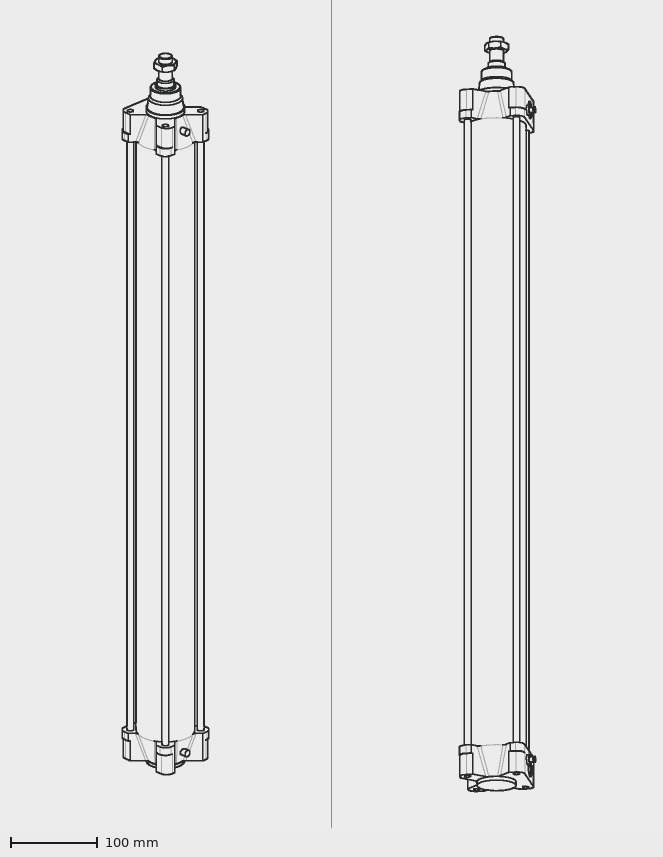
import cadquery as cq
import math


TOTAL_HEIGHT = 894.0
HEAD_WIDTH = 76.0
HALF_WIDTH = HEAD_WIDTH / 2

HEAD_HEIGHT = 35.0
HEAD_DEPTH = 72.0
LIP_HEIGHT = 10.0
CORNER_RADIUS = 9.0
BOTTOM_HEAD_OUTER_Z = 4.5
BOTTOM_HEAD_INNER_Z = BOTTOM_HEAD_OUTER_Z + HEAD_HEIGHT
TOP_HEAD_OUTER_Z = 824.0
TOP_HEAD_INNER_Z = TOP_HEAD_OUTER_Z - HEAD_HEIGHT

POCKET_APEX = 15.0
CORE_OUTER_RADIUS = 23.0
POCKET_FILLET = 4.0

BARREL_DIAMETER = 68.0
TIE_ROD_DIAMETER = 8.0
TIE_ROD_OFFSET = 29.0
TIE_ROD_HOLE_DIAMETER = 7.1
TIE_ROD_HOLE_DEPTH = 13.0

PORT_Y = -7.0
PORT_HEIGHT = 19.0
PORT_DIAMETER = 15.0
PORT_DEPTH = 9.0
PASSAGE_DIAMETER = 12.0
PASSAGE_DEPTH = 12.5
PORT_SEAT_DIAMETER = 20.0
PORT_SEAT_DEPTH = 1.0
SCREW_Y = 11.0
SCREW_HEIGHT = 13.0
SCREW_BASE_DIAMETER = 12.0
SCREW_BASE_LENGTH = 3.0
SCREW_NECK_DIAMETER = 6.0
SCREW_HEAD_DIAMETER = 7.1
SCREW_HEAD_LENGTH = 2.0
SCREW_LENGTH = 9.0

PLUG_DIAMETER = 8.0
PLUG_END_X = 36.0

COLLAR_DIAMETER = 45.0
COLLAR_TOP_Z = 829.0
CONE_BOTTOM_DIAMETER = 42.0
CONE_TOP_DIAMETER = 39.0
CONE_TOP_Z = 840.0
NECK_DIAMETER = 35.0
NECK_BOTTOM_Z = 843.0
NECK_TOP_Z = 855.0
NECK_CHAMFER = 1.0
WIPER_DIAMETER = 23.0
WIPER_TOP_Z = 857.0

ROD_DIAMETER = 20.0
ROD_SHOULDER_Z = 865.0
ROD_CHAMFER = 2.0
THREAD_DIAMETER = 16.0
THREAD_CHAMFER = 1.0

NUT_ACROSS_FLATS = 24.0
NUT_BOTTOM_Z = 879.0
NUT_HEIGHT = 8.0
NUT_CHAMFER_ANGLE = 30


def cylinder(diameter, bottom_z, top_z):
    """Cylinder on the Z axis between two heights."""
    return cq.Workplane("XY").workplane(offset=bottom_z).circle(diameter / 2).extrude(top_z - bottom_z)


def cylinder_along_x(diameter, start_x, end_x, y, z):
    """Cylinder parallel to the X axis between two X positions."""
    return cq.Workplane("YZ", origin=(start_x, y, z)).circle(diameter / 2).extrude(end_x - start_x)


def corner_cylinders(diameter, bottom_z, top_z):
    """Four upright cylinders on the tie-rod axes."""
    return (
        cq.Workplane("XY")
        .workplane(offset=bottom_z)
        .rect(2 * TIE_ROD_OFFSET, 2 * TIE_ROD_OFFSET, forConstruction=True)
        .vertices()
        .circle(diameter / 2)
        .extrude(top_z - bottom_z)
    )


def rounded_block(depth, height):
    """Block of head width with rounded vertical corners, standing on Z = 0."""
    block = cq.Workplane("XY").box(HEAD_WIDTH, depth, height, centered=(True, True, False))
    return block.edges("|Z").fillet(CORNER_RADIUS)


def pocket_cutter(angle):
    """Pocket opening outwards at an angle: a 90-degree wedge that stops at the conical core."""
    reach = HEAD_WIDTH
    half_opening = reach - POCKET_APEX
    wedge = (
        cq.Workplane("XY")
        .polyline([(POCKET_APEX, 0), (reach, half_opening), (reach, -half_opening)])
        .close()
        .extrude(HEAD_HEIGHT)
    )
    core = cq.Solid.makeCone(BARREL_DIAMETER / 2, CORE_OUTER_RADIUS, HEAD_HEIGHT)
    cutter = wedge.cut(cq.Workplane(core))
    cutter = cutter.edges("%HYPERBOLA").fillet(POCKET_FILLET)
    return cutter.rotate((0, 0, 0), (0, 0, 1), angle)


def adjusting_screw():
    """Screw on the -X face: round base, thin neck and wider tip."""
    base_end = -HALF_WIDTH - SCREW_BASE_LENGTH
    tip_end = -HALF_WIDTH - SCREW_LENGTH
    tip_start = tip_end + SCREW_HEAD_LENGTH
    base = cylinder_along_x(SCREW_BASE_DIAMETER, -HALF_WIDTH, base_end, SCREW_Y, SCREW_HEIGHT)
    neck = cylinder_along_x(SCREW_NECK_DIAMETER, base_end, tip_start, SCREW_Y, SCREW_HEIGHT)
    tip = cylinder_along_x(SCREW_HEAD_DIAMETER, tip_start, tip_end, SCREW_Y, SCREW_HEIGHT)
    return base.union(neck).union(tip)


def port_bore(diameter, depth):
    """Round cutter going from the -X face into the head."""
    return cylinder_along_x(diameter, -HALF_WIDTH, -HALF_WIDTH + depth, PORT_Y, PORT_HEIGHT)


def make_head():
    """Head with its inner face at Z = 0 and its outer face at Z = HEAD_HEIGHT."""
    lip = rounded_block(HEAD_WIDTH, LIP_HEIGHT)
    head = rounded_block(HEAD_DEPTH, HEAD_HEIGHT).union(lip)
    for angle in (0, 90, -90):
        head = head.cut(pocket_cutter(angle))
    plug = cylinder_along_x(PLUG_DIAMETER, 0, PLUG_END_X, 0, PORT_HEIGHT)
    head = head.union(plug).union(adjusting_screw())

    head = head.cut(port_bore(PORT_SEAT_DIAMETER, PORT_SEAT_DEPTH))
    head = head.cut(port_bore(PORT_DIAMETER, PORT_DEPTH))
    head = head.cut(port_bore(PASSAGE_DIAMETER, PASSAGE_DEPTH))
    tie_rod_holes = corner_cylinders(TIE_ROD_HOLE_DIAMETER, HEAD_HEIGHT - TIE_ROD_HOLE_DEPTH, HEAD_HEIGHT)
    return head.cut(tie_rod_holes)


def make_neck():
    """Stepped collar on the top head, through which the rod passes."""
    neck_radius = NECK_DIAMETER / 2
    profile = [
        (0, TOP_HEAD_OUTER_Z),
        (COLLAR_DIAMETER / 2, TOP_HEAD_OUTER_Z),
        (COLLAR_DIAMETER / 2, COLLAR_TOP_Z),
        (CONE_BOTTOM_DIAMETER / 2, COLLAR_TOP_Z),
        (CONE_TOP_DIAMETER / 2, CONE_TOP_Z),
        (neck_radius, NECK_BOTTOM_Z),
        (neck_radius, NECK_TOP_Z - NECK_CHAMFER),
        (neck_radius - NECK_CHAMFER, NECK_TOP_Z),
        (WIPER_DIAMETER / 2, NECK_TOP_Z),
        (WIPER_DIAMETER / 2, WIPER_TOP_Z),
        (0, WIPER_TOP_Z),
    ]
    return cq.Workplane("XZ").polyline(profile).close().revolve(360, (0, 0, 0), (0, 1, 0))


def make_housing():
    """Barrel, tie rods, both heads and their collars."""
    barrel = cylinder(BARREL_DIAMETER, BOTTOM_HEAD_INNER_Z, TOP_HEAD_INNER_Z)
    tie_rods = corner_cylinders(TIE_ROD_DIAMETER, BOTTOM_HEAD_INNER_Z, TOP_HEAD_INNER_Z)
    head = make_head()
    top_head = head.translate((0, 0, TOP_HEAD_INNER_Z))
    bottom_head = head.mirror("XY").translate((0, 0, BOTTOM_HEAD_INNER_Z))
    bottom_collar = cylinder(COLLAR_DIAMETER, 0, BOTTOM_HEAD_OUTER_Z)
    rod_hole = cylinder(ROD_DIAMETER, TOP_HEAD_INNER_Z, WIPER_TOP_Z)

    housing = barrel.union(top_head).union(bottom_head).union(tie_rods)
    return housing.union(bottom_collar).union(make_neck()).cut(rod_hole)


def make_piston_rod():
    """Rod seated in the top head, with a thinner threaded end."""
    shank = cylinder(ROD_DIAMETER, TOP_HEAD_INNER_Z, ROD_SHOULDER_Z).faces(">Z").chamfer(ROD_CHAMFER)
    thread = cylinder(THREAD_DIAMETER, ROD_SHOULDER_Z, TOTAL_HEIGHT).faces(">Z").chamfer(THREAD_CHAMFER)
    return shank.union(thread)


def make_rod_nut():
    """Hexagon nut with chamfered corners, two corners on the X axis."""
    across_corners = NUT_ACROSS_FLATS / math.cos(math.pi / 6)
    chamfer_width = (across_corners - NUT_ACROSS_FLATS) / 2
    chamfer_height = chamfer_width * math.tan(math.radians(NUT_CHAMFER_ANGLE))
    hexagon = (
        cq.Workplane("XY").workplane(offset=NUT_BOTTOM_Z).polygon(6, across_corners).extrude(NUT_HEIGHT)
    )
    envelope = cylinder(across_corners, NUT_BOTTOM_Z, NUT_BOTTOM_Z + NUT_HEIGHT)
    envelope = envelope.faces(">Z or <Z").edges().chamfer(chamfer_height, chamfer_width)
    thread_hole = cylinder(THREAD_DIAMETER, NUT_BOTTOM_Z, NUT_BOTTOM_Z + NUT_HEIGHT)
    return hexagon.intersect(envelope).cut(thread_hole)


housing = make_housing()
piston_rod = make_piston_rod()
rod_nut = make_rod_nut()

result = cq.Compound.makeCompound([housing.val(), piston_rod.val(), rod_nut.val()])